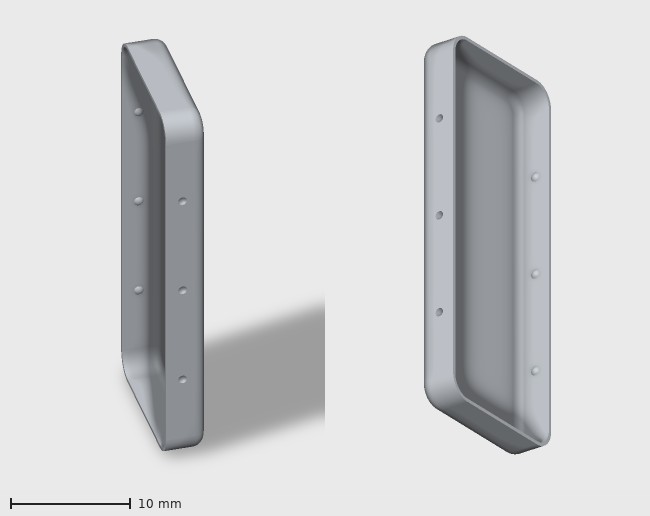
import cadquery as cq

width = 13.9
depth = 3.5
height = 33.9

wall = 0.3
corner_radius = 2.0
back_edge_radius = 1.0

dimple_radius = 0.37
dimple_from_rim = 1.42
dimple_pitch = 9.02
dimple_wall = 0.15
bump_radius = dimple_radius + dimple_wall
dimple_centers = [
    (-width / 2, dimple_from_rim - depth / 2, row * dimple_pitch)
    for row in (-1, 0, 1)
]


def rounded_block(inset):
    """Block inset from the sides and back, with rounded corners and back edge."""
    return (
        cq.Workplane("XY")
        .box(width - 2 * inset, depth - inset, height - 2 * inset)
        .translate((0, -inset / 2, 0))
        .edges("|Y")
        .fillet(corner_radius - inset)
        .faces(">Y")
        .edges()
        .fillet(back_edge_radius - inset)
    )


def half_balls(radius):
    """Half balls reaching inward from both long sides, one at each dimple place."""
    quarter_disc = (
        cq.Workplane("XY")
        .lineTo(radius, 0)
        .radiusArc((0, radius), -radius)
        .close()
    )
    ball = quarter_disc.revolve(360, (0, 0, 0), (1, 0, 0)).val()
    left = cq.Workplane("XY").pushPoints(dimple_centers).eachpoint(ball, combine=False)
    return left.add(left.mirror("YZ")).combine()


tray = rounded_block(0).cut(rounded_block(wall))
result = tray.union(half_balls(bump_radius)).cut(half_balls(dimple_radius))